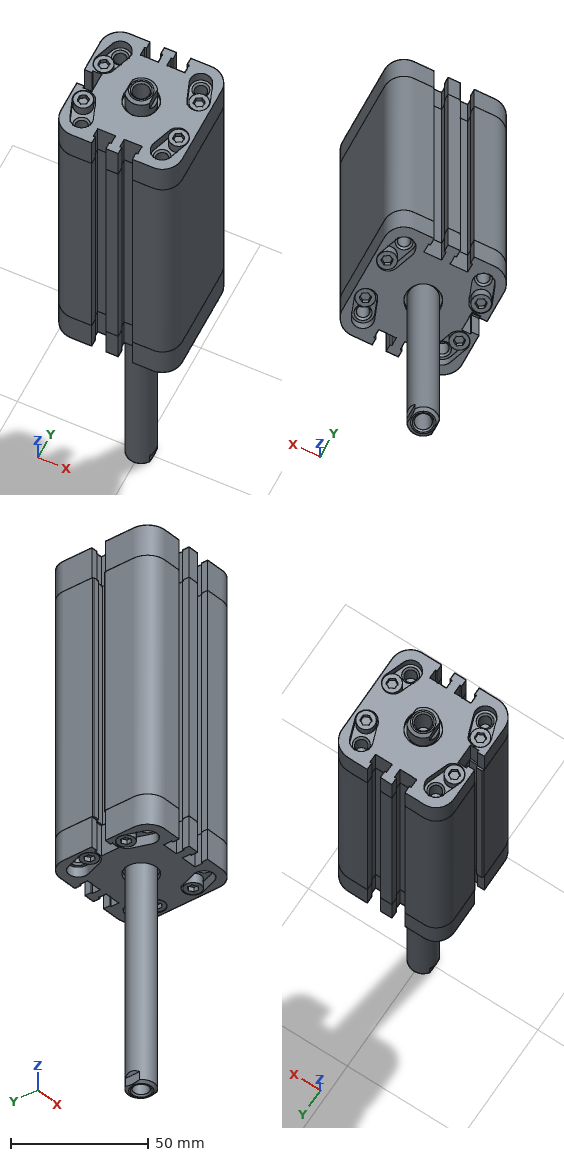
import cadquery as cq
import math

SIDE = 49.0
CORNER_RADIUS = 8.0
BODY_LENGTH = 133.5
CAP_HEIGHT = 13.5
TUBE_LENGTH = BODY_LENGTH - 2 * CAP_HEIGHT
HALF = SIDE / 2

SLOT_DEPTH = 6.6
LIP_DEPTH = 3.0
PAIR_OFFSET = 5.35
PAIR_MOUTH = 5.7
PAIR_INNER = 7.2
TUBE_SINGLE_MOUTH = 4.9
TUBE_SINGLE_INNER = 7.0
MOUTH_BEVEL = 0.5
CAP_SINGLE_MOUTH = 6.4
CAP_SINGLE_INNER = 8.2

ROD_DIAMETER = 12.0
ROD_TOP_REACH = 6.75
ROD_TOTAL = 237.0
ROD_CHAMFER_HEIGHT = 0.8
ROD_TIP_DIAMETER = 9.2
FLAT_WIDTH = 10.0
FLAT_LENGTH = 4.3
ROD_BORE_DIAMETER = 6.65
ROD_BORE_DEPTH = 14.0
ROD_BORE_MOUTH = 8.0
ROD_RECESS_DIAMETER = 14.0
ROD_RECESS_DEPTH = 2.0

FIXING_OFFSET = 16.25
POCKET_DIAMETER = 8.57
POCKET_DEPTH = 4.4
POCKET_END_X = 18.9
POCKET_END_Y = 8.85
FIXING_MOUTH = 6.5
FIXING_DIAMETER = 4.92
FIXING_CHAMFER_DEPTH = (FIXING_MOUTH - FIXING_DIAMETER) / 2
SCREW_X = 19.25
SCREW_Y = 8.6
SCREW_DIAMETER = 7.5
SCREW_HEAD_INSET = 0.2
SCREW_SOCKET_ACROSS_CORNERS = 4.4
SCREW_SOCKET_TURN = 30.0
SCREW_SOCKET_DEPTH = 2.0


def cylinder(diameter, height, x=0, y=0, z=0):
    """Upright cylinder with its base centred on (x, y, z)."""
    return cq.Workplane("XY", origin=(x, y, z)).circle(diameter / 2).extrude(height)


def t_slot(length, mouth, inner):
    """T-slot cutter opening at X = -HALF, centred on Y = 0, from Z = 0 up."""
    floor = -HALF + SLOT_DEPTH
    neck = cq.Workplane("XY").box(SLOT_DEPTH, mouth, length, centered=(False, True, False))
    wide = cq.Workplane("XY").box(SLOT_DEPTH - LIP_DEPTH, inner, length, centered=(False, True, False))
    return neck.translate((-HALF, 0, 0)).union(wide.translate((floor - SLOT_DEPTH + LIP_DEPTH, 0, 0)))


def section(length, single_mouth, single_inner):
    """Slotted square profile with a hole for the rod."""
    block = cq.Workplane("XY").box(SIDE, SIDE, length, centered=(True, True, False))
    block = block.edges("|Z").fillet(CORNER_RADIUS)
    block = block.cut(t_slot(length, single_mouth, single_inner))
    pair_slot = t_slot(length, PAIR_MOUTH, PAIR_INNER)
    for turn in (90, -90):
        for side in (-1, 1):
            cutter = pair_slot.translate((0, side * PAIR_OFFSET, 0))
            block = block.cut(cutter.rotate((0, 0, 0), (0, 0, 1), turn))
    return block.cut(cylinder(ROD_DIAMETER, length))


def pocket_cutter():
    """Round-ended pocket around the fixing hole and the screw, in the +X +Y corner."""
    across = POCKET_END_X - FIXING_OFFSET
    along = POCKET_END_Y - FIXING_OFFSET
    floor = cq.Workplane("XY", origin=(0, 0, CAP_HEIGHT - POCKET_DEPTH))
    outline = floor.center(FIXING_OFFSET + across / 2, FIXING_OFFSET + along / 2).slot2D(
        math.hypot(across, along) + POCKET_DIAMETER, POCKET_DIAMETER,
        math.degrees(math.atan2(along, across)))
    return outline.extrude(POCKET_DEPTH)


def corner_features(cap, mirror_x, mirror_y):
    """Cut one corner's pocket and fixing hole and leave the screw head standing."""
    floor = CAP_HEIGHT - POCKET_DEPTH
    hole = cylinder(FIXING_DIAMETER, floor, FIXING_OFFSET, FIXING_OFFSET)
    cone = cq.Workplane("XY").add(cq.Solid.makeCone(
        FIXING_DIAMETER / 2, FIXING_MOUTH / 2, FIXING_CHAMFER_DEPTH,
        cq.Vector(FIXING_OFFSET, FIXING_OFFSET, floor - FIXING_CHAMFER_DEPTH)))
    head_height = POCKET_DEPTH - SCREW_HEAD_INSET
    head = cylinder(SCREW_DIAMETER, head_height, SCREW_X, SCREW_Y, floor)
    head_top = CAP_HEIGHT - SCREW_HEAD_INSET
    socket = (
        cq.Workplane("XY", origin=(SCREW_X, SCREW_Y, head_top))
        .transformed(rotate=(0, 0, SCREW_SOCKET_TURN))
        .polygon(6, SCREW_SOCKET_ACROSS_CORNERS)
        .extrude(-SCREW_SOCKET_DEPTH)
    )
    cutter = pocket_cutter().cut(head).union(hole).union(cone).union(socket)
    if mirror_x:
        cutter = cutter.mirror("YZ")
    if mirror_y:
        cutter = cutter.mirror("XZ")
    return cap.cut(cutter)


def make_cap():
    """End cap with its outer face at Z = CAP_HEIGHT."""
    cap = section(CAP_HEIGHT, CAP_SINGLE_MOUTH, CAP_SINGLE_INNER)
    cap = cap.cut(cylinder(ROD_RECESS_DIAMETER, ROD_RECESS_DEPTH, z=CAP_HEIGHT - ROD_RECESS_DEPTH))
    for mirror_x in (False, True):
        for mirror_y in (False, True):
            cap = corner_features(cap, mirror_x, mirror_y)
    return cap


def make_tube():
    """Tube from Z = 0 up, with bevelled edges at the mouth of the single slot."""
    half_mouth = TUBE_SINGLE_MOUTH / 2
    bevel = (
        cq.Workplane("XY")
        .moveTo(-HALF, -half_mouth - MOUTH_BEVEL)
        .lineTo(-HALF, half_mouth + MOUTH_BEVEL)
        .lineTo(-HALF + MOUTH_BEVEL, half_mouth)
        .lineTo(-HALF + MOUTH_BEVEL, -half_mouth)
        .close()
        .extrude(TUBE_LENGTH)
    )
    return section(TUBE_LENGTH, TUBE_SINGLE_MOUTH, TUBE_SINGLE_INNER).cut(bevel)


def make_rod():
    """Through rod, from Z = 0 up, with flats and a blind bore at both ends."""
    radius = ROD_DIAMETER / 2
    tip_radius = ROD_TIP_DIAMETER / 2
    rod = (
        cq.Workplane("XZ")
        .lineTo(tip_radius, 0)
        .lineTo(radius, ROD_CHAMFER_HEIGHT)
        .lineTo(radius, ROD_TOTAL - ROD_CHAMFER_HEIGHT)
        .lineTo(tip_radius, ROD_TOTAL)
        .lineTo(0, ROD_TOTAL)
        .close()
        .revolve()
    )
    step = (ROD_DIAMETER - FLAT_WIDTH) / 2
    mouth_depth = (ROD_BORE_MOUTH - ROD_BORE_DIAMETER) / 2
    flat = (
        cq.Workplane("XZ")
        .moveTo(FLAT_WIDTH / 2, 0)
        .lineTo(FLAT_WIDTH / 2, FLAT_LENGTH)
        .lineTo(radius, FLAT_LENGTH + step)
        .lineTo(radius, 0)
        .close()
        .extrude(radius, both=True)
    )
    mouth = cq.Workplane("XY").add(cq.Solid.makeCone(
        ROD_BORE_MOUTH / 2, ROD_BORE_DIAMETER / 2, mouth_depth))
    end_cutter = cylinder(ROD_BORE_DIAMETER, ROD_BORE_DEPTH).union(mouth)
    end_cutter = end_cutter.union(flat).union(flat.mirror("YZ"))
    other_end = end_cutter.mirror("XY").translate((0, 0, ROD_TOTAL))
    return rod.cut(end_cutter).cut(other_end)


upper_cap = make_cap().translate((0, 0, BODY_LENGTH - CAP_HEIGHT))
lower_cap = make_cap().mirror("XY").translate((0, 0, CAP_HEIGHT))
tube = make_tube().translate((0, 0, CAP_HEIGHT))
rod = make_rod().translate((0, 0, BODY_LENGTH + ROD_TOP_REACH - ROD_TOTAL))

result = cq.Compound.makeCompound([lower_cap.val(), tube.val(), upper_cap.val(), rod.val()])